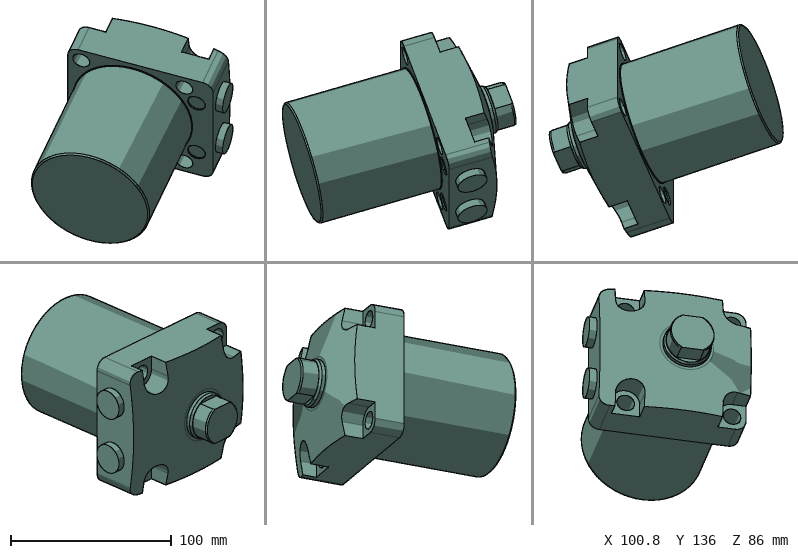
import cadquery as cq
import math


overall_length = 136.0

block_half = 43.0
port_side_x = 53.0
corner_radius = 7.0
crown_height = 41.0
crown_flat_radius = 17.1
crown_angle = 15.0

barrel_length = 79.0
barrel_radius = 39.0
barrel_end_chamfer = 1.0
collar_radius = 39.5
collar_length = 0.5

bolt_offset = 34.0
bolt_hole_diameter = 11.2
notch_radius = 9.0
notch_floor = 20.0

port_x = 42.0
port_z = 22.5
port_diameter = 11.5
port_depth = 1.0

rod_top = overall_length - barrel_length
rod_radius = 14.0
rod_end_chamfer_length = 1.2
rod_end_chamfer_width = 0.4
flat_length = 12.0
flat_across = 24.0
shoulder_radius = 15.2
shoulder_chamfer_length = 1.6
shoulder_chamfer_width = 1.0

plug_diameter = 19.0
plug_length = 4.8
plug_height = 13.7
plug_z = 18.9


def section_from(y):
    """Plane parallel to XZ at height y; it extrudes toward +Y and its local y axis is -Z."""
    return cq.Workplane(cq.Plane(origin=(0, y, 0), xDir=(1, 0, 0), normal=(0, 1, 0)))


def turned(profile):
    """Solid of revolution about the Y axis from (radius, y) points."""
    return cq.Workplane("XY").polyline(profile).close().revolve(360, (0, 0, 0), (0, 1, 0))


def flange_block():
    """Rounded block whose top is cut to a shallow cone."""
    width = block_half + port_side_x
    block = (
        section_from(0)
        .center((port_side_x - block_half) / 2, 0)
        .rect(width, 2 * block_half)
        .extrude(crown_height)
        .edges("|Y")
        .fillet(corner_radius)
    )
    reach = math.hypot(port_side_x, block_half)
    rim_height = crown_height - (reach - crown_flat_radius) * math.tan(math.radians(crown_angle))
    crown = turned([
        (0, 0),
        (reach, 0),
        (reach, rim_height),
        (crown_flat_radius, crown_height),
        (0, crown_height),
    ])
    return block.intersect(crown)


def barrel():
    """Closed barrel with a chamfered end and a thin collar under the flange."""
    return turned([
        (0, 0),
        (collar_radius, 0),
        (collar_radius, -collar_length),
        (barrel_radius, -collar_length),
        (barrel_radius, barrel_end_chamfer - barrel_length),
        (barrel_radius - barrel_end_chamfer, -barrel_length),
        (0, -barrel_length),
    ])


def bolt_notch(x, z, open_on_left):
    """Round-ended notch around a bolt, open to the nearest Z side and, at a corner, to -X."""
    depth = crown_height - notch_floor
    z_direction = math.copysign(1, z)

    def box(x_min, x_max, inner_z):
        """Box from the distance inner_z out to the Z side of the block."""
        z_span = block_half - inner_z
        return (
            section_from(notch_floor)
            .center((x_min + x_max) / 2, -z_direction * (inner_z + z_span / 2))
            .rect(x_max - x_min, z_span)
            .extrude(depth)
        )

    notch = section_from(notch_floor).center(x, -z).circle(notch_radius).extrude(depth)
    notch = notch.union(box(x - notch_radius, x + notch_radius, bolt_offset))
    if open_on_left:
        notch = notch.union(box(-block_half, x, bolt_offset - notch_radius))
    return notch


def make_housing():
    housing = flange_block().union(barrel())
    for x in (-bolt_offset, bolt_offset):
        for z in (-bolt_offset, bolt_offset):
            housing = housing.cut(bolt_notch(x, z, open_on_left=x < 0))
            hole = section_from(0).center(x, -z).circle(bolt_hole_diameter / 2).extrude(crown_height)
            housing = housing.cut(hole)
    for z in (-port_z, port_z):
        port = section_from(0).center(port_x, -z).circle(port_diameter / 2).extrude(port_depth)
        housing = housing.cut(port)
    return housing


def make_rod():
    """Rod end with two wrench flats above a chamfered shoulder that rests on the crown."""
    shoulder_top = rod_top - flat_length
    rod = turned([
        (0, crown_height),
        (shoulder_radius, crown_height),
        (shoulder_radius, shoulder_top - shoulder_chamfer_length),
        (shoulder_radius - shoulder_chamfer_width, shoulder_top),
        (rod_radius, shoulder_top),
        (rod_radius, rod_top - rod_end_chamfer_length),
        (rod_radius - rod_end_chamfer_width, rod_top),
        (0, rod_top),
    ])
    flat_depth = rod_radius - flat_across / 2
    for side in (-1, 1):
        flat = (
            section_from(shoulder_top)
            .center(0, side * (flat_across + flat_depth) / 2)
            .rect(2 * rod_radius, flat_depth)
            .extrude(flat_length)
        )
        rod = rod.cut(flat)
    return rod


def make_plug(z):
    """Plain round plug seated on the +X side of the flange."""
    return (
        cq.Workplane("YZ", origin=(port_side_x, plug_height, z))
        .circle(plug_diameter / 2)
        .extrude(plug_length)
    )


housing = make_housing()
rod = make_rod()
plugs = [make_plug(z) for z in (-plug_z, plug_z)]

result = cq.Compound.makeCompound([housing.val(), rod.val(), *[plug.val() for plug in plugs]])